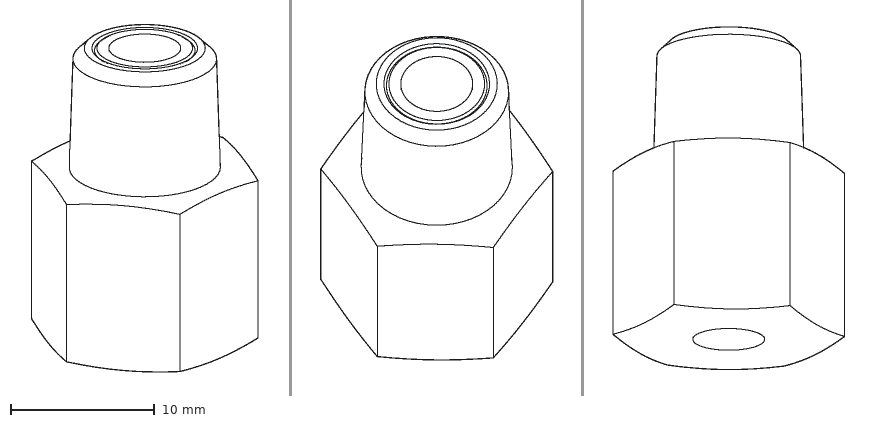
import cadquery as cq
import math

total_height = 21.5
hex_height = 12.5
across_flats = 14.0
bore_diameter = 5.0

spigot_base_radius = 5.27
taper_on_radius = 1 / 32
tip_chamfer = 0.8

groove_radius = 3.5
groove_depth = 0.17

hex_chamfer_angle = 15

flat_radius = across_flats / 2
corner_radius = flat_radius / math.cos(math.pi / 6)
corner_drop = (corner_radius - flat_radius) * math.tan(math.radians(hex_chamfer_angle))
taper_top = total_height - tip_chamfer
spigot_top_radius = spigot_base_radius - (taper_top - hex_height) * taper_on_radius


def revolve_about_z(points):
    """Revolve a closed (radius, height) profile about the Z axis."""
    return cq.Workplane("XZ").polyline(points).close().revolve(360, (0, 0, 0), (0, 1, 0))


def make_hexagon():
    """Hexagon with corners on Y, chamfered by a cone at each end."""
    prism = (
        cq.Workplane("XY")
        .polygon(6, 2 * corner_radius)
        .extrude(hex_height)
        .rotate((0, 0, 0), (0, 0, 1), 90)
    )
    chamfer_envelope = revolve_about_z([
        (0, 0),
        (flat_radius, 0),
        (corner_radius, corner_drop),
        (corner_radius, hex_height - corner_drop),
        (flat_radius, hex_height),
        (0, hex_height),
    ])
    return prism.intersect(chamfer_envelope)


def make_spigot():
    """Tapered spigot standing on the hexagon, sharing its lower volume."""
    return revolve_about_z([
        (0, 0),
        (spigot_base_radius, 0),
        (spigot_base_radius, hex_height),
        (spigot_top_radius, taper_top),
        (spigot_top_radius - tip_chamfer, total_height),
        (0, total_height),
    ])


def make_tip_groove():
    return revolve_about_z([
        (groove_radius - groove_depth, total_height),
        (groove_radius, total_height - groove_depth),
        (groove_radius + groove_depth, total_height),
    ])


def make_bore():
    return cq.Workplane("XY").circle(bore_diameter / 2).extrude(total_height)


result = make_hexagon().union(make_spigot()).cut(make_tip_groove()).cut(make_bore())